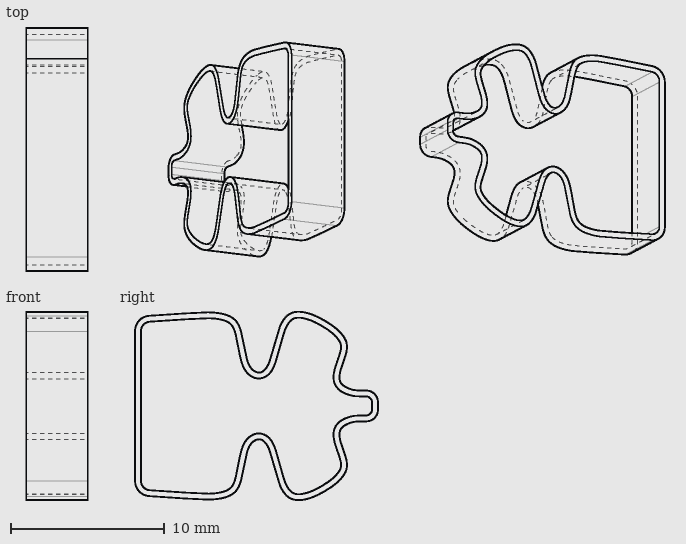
import cadquery as cq
import math

WIDTH = 4.0
LENGTH = 15.8
WALL = 0.4
BACK_HALF_FLAT = 4.87
BACK_RADIUS = 1.0
BACK_SLOPE = math.radians(3.5)
NOSE_HALF_FLAT = 0.24
NOSE_RADIUS = 0.77
INNER_SAMPLES = 60

BACK_Y = -LENGTH / 2
NOSE_Y = LENGTH / 2

WAVE = [
    (-3.85, 6.07),
    (-2.58, 6.06),
    (-1.38, 5.58),
    (-0.88, 4.31),
    (-0.70, 3.37),
    (-0.08, 2.24),
    (0.24, 2.18),
    (0.66, 2.52),
    (0.98, 3.38),
    (1.26, 4.34),
    (1.63, 5.40),
    (2.20, 6.01),
    (3.58, 5.96),
    (4.43, 5.55),
    (5.43, 4.80),
    (5.85, 4.13),
    (5.62, 2.78),
    (5.55, 1.42),
    (6.03, 1.13),
]
BACK_DIRECTION = (math.cos(BACK_SLOPE), math.sin(BACK_SLOPE))
NOSE_DIRECTION = (1.0, 0.0)


def back_corner_end(inset):
    """Point where the back corner arc, inset from the outer side, meets the wave."""
    radius = BACK_RADIUS - inset
    centre_y = BACK_Y + BACK_RADIUS
    return (centre_y - radius * BACK_DIRECTION[1], BACK_HALF_FLAT + radius * BACK_DIRECTION[0])


def nose_corner_end(inset):
    """Point where the nose corner arc, inset from the outer side, meets the wave."""
    return (NOSE_Y - NOSE_RADIUS, NOSE_HALF_FLAT + NOSE_RADIUS - inset)


def inset_wave(inset):
    """Points of the outer wave moved square to it by the inset, without its two ends."""
    outer_points = [back_corner_end(0), *WAVE, nose_corner_end(0)]
    outer_curve = cq.Edge.makeSpline(
        [cq.Vector(y, z) for y, z in outer_points],
        tangents=[cq.Vector(*BACK_DIRECTION), cq.Vector(*NOSE_DIRECTION)],
    )
    points = []
    for station in range(1, INNER_SAMPLES):
        position = outer_curve.positionAt(station / INNER_SAMPLES)
        tangent = outer_curve.tangentAt(station / INNER_SAMPLES)
        points.append((position.x + inset * tangent.y, position.y - inset * tangent.x))
    return points


def outline(wave, inset):
    """Closed outline, inset from the outer side: the upper half mirrored about Z = 0."""
    back_y = BACK_Y + inset
    nose_y = NOSE_Y - inset
    return (
        cq.Workplane("YZ")
        .moveTo(back_y, 0)
        .lineTo(back_y, BACK_HALF_FLAT)
        .tangentArcPoint(back_corner_end(inset), relative=False)
        .spline(
            [*wave, nose_corner_end(inset)],
            tangents=[BACK_DIRECTION, NOSE_DIRECTION],
            includeCurrent=True,
        )
        .tangentArcPoint((nose_y, NOSE_HALF_FLAT), relative=False)
        .lineTo(nose_y, 0)
        .mirrorX()
    )


def prism(closed_outline):
    """Solid ruled between two copies of an outline, at X = -WIDTH / 2 and X = WIDTH / 2."""
    wire = closed_outline.wires().val()
    ends = [wire.translate(cq.Vector(x, 0, 0)) for x in (-WIDTH / 2, WIDTH / 2)]
    return cq.Workplane(cq.Solid.makeLoft(ends, True))


outer_body = prism(outline(WAVE, 0))
inner_body = prism(outline(inset_wave(WALL), WALL))
result = outer_body.cut(inner_body)